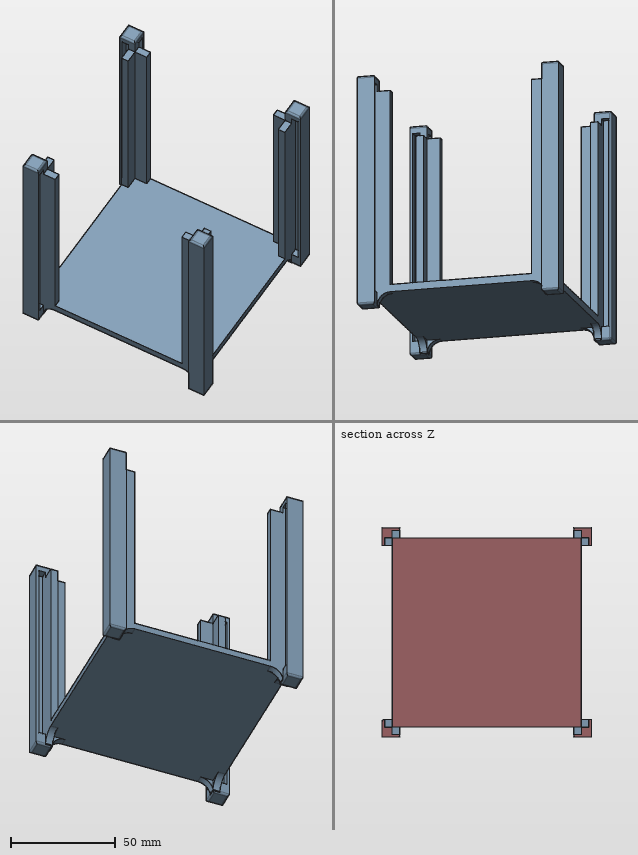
import cadquery as cq

height = 113.5
width = 100.0

post = 8.5
post_center = (width - post) / 2
post_inner = width / 2 - post
end_round = 1.0

wall = 3.6
plate_bottom = 6.8
plate_top = plate_bottom + wall
plate_half = post_inner + wall

rib_length = 6.5
rib_setback = 6.8
rib_top = height - rib_setback

groove_lip = 1.4
groove_depth = wall
groove_bottom = plate_bottom
groove_top = height - wall


def box(x_range, y_range, z_range):
    """Block spanning the given (low, high) pairs."""
    ranges = (x_range, y_range, z_range)
    size = [high - low for low, high in ranges]
    corner = tuple(low for low, high in ranges)
    return cq.Workplane("XY").box(*size, centered=False).translate(corner)


def swap_xy(shape):
    """Mirror a shape across the vertical plane X = Y."""
    return shape.mirror("YZ").rotate((0, 0, 0), (0, 0, 1), -90)


def make_rib():
    """Rib that runs from the +X +Y post towards -X, with its gusset."""
    tip = post_inner - rib_length
    profile = (
        cq.Workplane("XZ")
        .moveTo(post_inner, plate_bottom - rib_length)
        .lineTo(post_inner, rib_top)
        .lineTo(tip, rib_top)
        .lineTo(tip, plate_bottom)
        .radiusArc((post_inner, plate_bottom - rib_length), rib_length)
        .close()
    )
    return profile.extrude(-wall).translate((0, post_inner, 0))


def make_groove():
    """Groove cut in the -X face of the +X +Y post, outside the rib."""
    return box(
        (post_inner, post_inner + groove_depth),
        (plate_half, width / 2 - groove_lip),
        (groove_bottom, groove_top),
    )


def make_corner(rounded_edges):
    """Post at +X +Y with the selected edges rounded, two grooves and two ribs."""
    corner = (
        cq.Workplane("XY")
        .box(post, post, height, centered=(True, True, False))
        .edges(rounded_edges)
        .fillet(end_round)
        .translate((post_center, post_center, 0))
    )
    rib = make_rib()
    groove = make_groove()
    corner = corner.cut(groove).cut(swap_xy(groove))
    return corner.union(rib).union(swap_xy(rib))


end_edges = "<Z or >Z"
plain_corner = make_corner(end_edges)
rounded_corner = make_corner(end_edges + " or (|Z and >X and <Y)")
corners = [plain_corner, plain_corner, rounded_corner, plain_corner]

plate_span = (-plate_half, plate_half)
result = box(plate_span, plate_span, (plate_bottom, plate_top))
for quarter_turns, corner in enumerate(corners):
    result = result.union(corner.rotate((0, 0, 0), (0, 0, 1), 90 * quarter_turns))